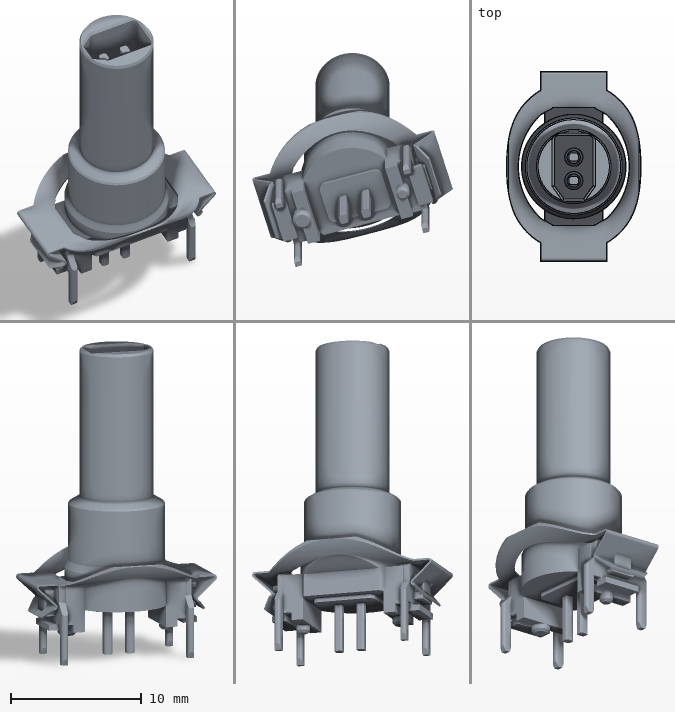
import cadquery as cq
import math

OVERALL_HEIGHT = 23.9

SHAFT_RADIUS = 2.85
SHAFT_TIP_RADIUS = 2.73
SHAFT_TIP_HEIGHT = 0.22
SHOULDER_TOP_Z = 12.43
SHOULDER_EDGE_RADIUS = 3.59
SHOULDER_EDGE_Z = 12.0
BARREL_RADIUS = 3.7
BARREL_TOP_Z = 11.85
BARREL_BOTTOM_Z = 7.5
DRUM_RADIUS = 4.0
DRUM_TOP_Z = 6.93
DRUM_BOTTOM_Z = 4.1

RELIEF_X = 2.6
RELIEF_Z = 5.83
RELIEF_SLOPE = 0.7

SOCKET_HALF_WIDTH = 1.48
SOCKET_BACK_Y = 2.4
SOCKET_FRONT_Y = -2.46
SOCKET_BACK_CORNER_RADIUS = 0.35
SOCKET_FRONT_HALF_WIDTH = 0.77
SOCKET_FRONT_BEVEL_Y = -1.45
SOCKET_MOUTH_CHAMFER = 0.17
SOCKET_FLOOR_Z = SHOULDER_TOP_Z

CONE_BASE_RADIUS = 0.7
CONE_TOP_RADIUS = 0.5
CONE_HEIGHT = 0.2

BASE_HALF_WIDTH = 1.67
BASE_BACK_Y = 2.25
BASE_FRONT_Y = -2.68
BASE_BOTTOM_Z = 3.78
BASE_CORNER_RADIUS = 0.53

BLOCK_HALF_WIDTH = 2.22
BLOCK_INNER_Y = 3.25
BLOCK_OUTER_Y = 4.83
BLOCK_TOP_Z = 5.98
BLOCK_FOOT_Z = 2.4
BLOCK_STEP_Y = 4.18
BLOCK_STEP_Z = 3.01
POST_Y = 4.0
POST_BOTTOM_Z = 1.85
POST_CHAMFER = 0.2
BACK_POST_RADIUS = 0.72
FRONT_POST_RADIUS = 0.53

PIN_WIDTH = 0.72
PIN_DEPTH = 0.62
PIN_EDGE_CHAMFER = 0.12
PIN_BOTTOM_Z = 0.17
PIN_TOP_Z = 22.6
PIN_Y_POSITIONS = (0.72, -1.08)

SHEET = 0.15
SPRING_TOP_Z = 6.34
SPRING_BOTTOM_Z = SPRING_TOP_Z - SHEET
STRIP_HALF_WIDTH = 2.53
WING_SPAN = 10.25
WING_ROOT_Y = 5.83
WING_BEND_RADIUS = 2.77
WING_OUTER_BEND_RADIUS = WING_BEND_RADIUS + SHEET
WING_FLAT_RADIUS = 6.89
SPRING_HOLE_HALF_LENGTH = 4.52
SPRING_HOLE_END_HALF_WIDTH = 1.53
SPRING_HOLE_BEVEL_Y = 3.95
SPRING_HOLE_HALF_WIDTH = 4.23
HOOK_CORNER_Y = 7.44
HOOK_KNEE_Y = 5.57
HOOK_KNEE_Z = 4.55
HOOK_END_Y = 6.55
HOOK_END_Z = 3.55
HOOK_INNER_BEND = 0.1
HOOK_BEVEL_TOP_Z = 4.3
HOOK_END_HALF_WIDTH = 1.58
WINDOW_OUTER_Y = 6.26
WINDOW_BOTTOM_Z = 3.92
WINDOW_TOP_Z = 5.1

PLATE_INNER_Y = BLOCK_OUTER_Y
PLATE_THICKNESS = 0.5
PLATE_OUTER_Y = PLATE_INNER_Y + PLATE_THICKNESS
PLATE_HALF_WIDTH = 2.1
PLATE_TOP_CHAMFER = 0.22
PLATE_BOTTOM_Z = 3.13
LIP_INNER_Y = SPRING_HOLE_HALF_LENGTH
LEG_OUTER_X = 3.0
LEG_WIDTH = 0.84
LEG_INNER_X = LEG_OUTER_X - LEG_WIDTH
LEG_SHOULDER_Z = 3.9
LEG_TAPER_TOP_Z = 0.5
LEG_TIP_WIDTH = 0.38
LEG_EDGE_FILLET = 0.22
FOOT_HALF_WIDTH = 1.58
FOOT_OUTER_Y = 5.95
FOOT_TOP_Z = 3.0
FOOT_BOTTOM_Z = 2.53
LUG_OUTER_Y = 6.05
LUG_NECK_HALF_WIDTH = 0.77
LUG_HEAD_HALF_WIDTH = 1.08
LUG_BOTTOM_Z = 3.56
LUG_TOP_Z = 5.55
LUG_HEAD_HEIGHT = 0.53
LUG_HEAD_FILLET = 0.2


def block(x_range, y_range, z_range):
    """Axis-aligned box between the given limits."""
    (x0, x1), (y0, y1), (z0, z1) = x_range, y_range, z_range
    return cq.Workplane("XY").box(x1 - x0, y1 - y0, z1 - z0, centered=False).translate((x0, y0, z0))


def turned_to_back(body):
    """Copy of a body turned half a revolution about the tower axis."""
    return body.rotate((0, 0, 0), (0, 0, 1), 180)


def with_mirror(points):
    """Closed outline: points with x > 0, then their mirror images in reverse order."""
    return points + [(-x, y) for x, y in reversed(points)]


def make_pin(y):
    length = PIN_TOP_Z - PIN_BOTTOM_Z
    bar = cq.Workplane("XY").rect(PIN_WIDTH, PIN_DEPTH).extrude(length)
    return bar.edges("|Z").chamfer(PIN_EDGE_CHAMFER).translate((0, y, PIN_BOTTOM_Z))


def make_tower():
    profile = [
        (0, DRUM_BOTTOM_Z),
        (DRUM_RADIUS, DRUM_BOTTOM_Z),
        (DRUM_RADIUS, DRUM_TOP_Z),
        (BARREL_RADIUS, BARREL_BOTTOM_Z),
        (BARREL_RADIUS, BARREL_TOP_Z),
        (SHOULDER_EDGE_RADIUS, SHOULDER_EDGE_Z),
        (SHAFT_RADIUS, SHOULDER_TOP_Z),
        (SHAFT_RADIUS, OVERALL_HEIGHT - SHAFT_TIP_HEIGHT),
        (SHAFT_TIP_RADIUS, OVERALL_HEIGHT),
        (0, OVERALL_HEIGHT),
    ]
    return cq.Workplane("XZ").polyline(profile).close().revolve(360, (0, 0, 0), (0, 1, 0))


def make_drum_relief():
    outer_x = DRUM_RADIUS + 0.25
    outer_z = RELIEF_Z + RELIEF_SLOPE * (outer_x - RELIEF_X)
    profile = [
        (RELIEF_X, DRUM_BOTTOM_Z),
        (outer_x, DRUM_BOTTOM_Z),
        (outer_x, outer_z),
        (RELIEF_X, RELIEF_Z),
    ]
    return cq.Workplane("XZ").polyline(profile).close().extrude(DRUM_RADIUS, both=True)


def make_socket():
    outline = with_mirror([
        (SOCKET_FRONT_HALF_WIDTH, SOCKET_FRONT_Y),
        (SOCKET_HALF_WIDTH, SOCKET_FRONT_BEVEL_Y),
        (SOCKET_HALF_WIDTH, SOCKET_BACK_Y),
    ])
    depth = OVERALL_HEIGHT - SOCKET_FLOOR_Z
    cavity = cq.Workplane("XY").workplane(offset=SOCKET_FLOOR_Z).polyline(outline).close().extrude(depth)
    cavity = cavity.edges("|Z and >Y").fillet(SOCKET_BACK_CORNER_RADIUS)
    mouth = (
        cavity.faces(">Z").wires().toPending()
        .offset2D(SOCKET_MOUTH_CHAMFER, "intersection")
        .extrude(-SOCKET_MOUTH_CHAMFER, combine=False, taper=45)
    )
    return cavity.union(mouth)


def make_pin_cone(y):
    foot = cq.Vector(0, y, SOCKET_FLOOR_Z)
    cone = cq.Solid.makeCone(CONE_BASE_RADIUS, CONE_TOP_RADIUS, CONE_HEIGHT, pnt=foot)
    return cq.Workplane(obj=cone)


def make_base_plate():
    plate = block(
        (-BASE_HALF_WIDTH, BASE_HALF_WIDTH),
        (BASE_FRONT_Y, BASE_BACK_Y),
        (BASE_BOTTOM_Z, DRUM_BOTTOM_Z),
    )
    return plate.edges("|Z").fillet(BASE_CORNER_RADIUS)


def make_standoff(side, post_radius):
    """Stepped block with a round post below it, on the +Y (side = 1) or -Y (side = -1) end."""
    profile = [
        (side * BLOCK_INNER_Y, BLOCK_FOOT_Z),
        (side * BLOCK_STEP_Y, BLOCK_FOOT_Z),
        (side * BLOCK_STEP_Y, BLOCK_STEP_Z),
        (side * BLOCK_OUTER_Y, BLOCK_STEP_Z),
        (side * BLOCK_OUTER_Y, BLOCK_TOP_Z),
        (side * BLOCK_INNER_Y, BLOCK_TOP_Z),
    ]
    standoff = cq.Workplane("YZ").polyline(profile).close().extrude(BLOCK_HALF_WIDTH, both=True)
    post = (
        cq.Workplane("XY", origin=(0, side * POST_Y, POST_BOTTOM_Z))
        .circle(post_radius)
        .extrude(BLOCK_TOP_Z - POST_BOTTOM_Z)
        .faces("<Z").chamfer(POST_CHAMFER)
    )
    return standoff.union(post)


def make_housing(pins):
    housing = make_tower().cut(make_drum_relief()).cut(make_socket()).union(make_base_plate())
    housing = housing.union(make_standoff(1, BACK_POST_RADIUS))
    housing = housing.union(make_standoff(-1, FRONT_POST_RADIUS))
    for y in PIN_Y_POSITIONS:
        housing = housing.union(make_pin_cone(y))
    for pin in pins:
        housing = housing.cut(pin)
    return housing


def make_bracket_plate():
    """Plate with two pointed legs, in the XZ plane."""
    leg_middle = LEG_OUTER_X - LEG_WIDTH / 2
    shoulder_rise = LEG_OUTER_X - PLATE_HALF_WIDTH
    outline = with_mirror([
        (LEG_INNER_X, PLATE_BOTTOM_Z),
        (LEG_INNER_X, LEG_TAPER_TOP_Z),
        (leg_middle - LEG_TIP_WIDTH / 2, 0),
        (leg_middle + LEG_TIP_WIDTH / 2, 0),
        (LEG_OUTER_X, LEG_TAPER_TOP_Z),
        (LEG_OUTER_X, LEG_SHOULDER_Z),
        (PLATE_HALF_WIDTH, LEG_SHOULDER_Z + shoulder_rise),
        (PLATE_HALF_WIDTH, SPRING_BOTTOM_Z - PLATE_TOP_CHAMFER),
        (PLATE_HALF_WIDTH - PLATE_TOP_CHAMFER, SPRING_BOTTOM_Z),
    ])
    inner_face = cq.Workplane("XZ", origin=(0, -PLATE_INNER_Y, 0))
    plate = inner_face.polyline(outline).close().extrude(PLATE_THICKNESS)
    margin = 0.25
    leg_zone = cq.selectors.BoxSelector(
        (-LEG_OUTER_X - margin, -PLATE_OUTER_Y - margin, LEG_TAPER_TOP_Z),
        (LEG_OUTER_X + margin, -PLATE_INNER_Y + margin, LEG_SHOULDER_Z),
    )
    return plate.edges(leg_zone).edges("|Z").fillet(LEG_EDGE_FILLET)


def make_lug(rounded):
    """Lug with a head above and below a narrower neck; the heads' long edges may be rounded."""
    y_range = (-LUG_OUTER_Y, -PLATE_OUTER_Y)
    lug = block((-LUG_NECK_HALF_WIDTH, LUG_NECK_HALF_WIDTH), y_range, (LUG_BOTTOM_Z, LUG_TOP_Z))
    for head_z in (LUG_BOTTOM_Z, LUG_TOP_Z - LUG_HEAD_HEIGHT):
        head = block((-LUG_HEAD_HALF_WIDTH, LUG_HEAD_HALF_WIDTH), y_range, (head_z, head_z + LUG_HEAD_HEIGHT))
        if rounded:
            head = head.edges("|Y").fillet(LUG_HEAD_FILLET)
        lug = lug.union(head)
    return lug


def make_bracket(rounded_lug):
    lip_half_width = PLATE_HALF_WIDTH - PLATE_TOP_CHAMFER
    lip = block(
        (-lip_half_width, lip_half_width),
        (-PLATE_INNER_Y, -LIP_INNER_Y),
        (BLOCK_TOP_Z, SPRING_BOTTOM_Z),
    )
    foot = block(
        (-FOOT_HALF_WIDTH, FOOT_HALF_WIDTH),
        (-FOOT_OUTER_Y, -PLATE_INNER_Y),
        (FOOT_BOTTOM_Z, FOOT_TOP_Z),
    )
    foot_root = block(
        (-FOOT_HALF_WIDTH, FOOT_HALF_WIDTH),
        (-PLATE_OUTER_Y, -PLATE_INNER_Y),
        (FOOT_TOP_Z, PLATE_BOTTOM_Z),
    )
    bracket = make_bracket_plate().union(lip).union(foot).union(foot_root)
    return bracket.union(make_lug(rounded_lug))


def make_spring_sheet():
    """Sheet that is flat in the middle and curls up in a circular arc on both sides."""
    centre_z = SPRING_TOP_Z + WING_BEND_RADIUS

    def on_arc(radius, degrees, side):
        angle = math.radians(degrees)
        return (side * (STRIP_HALF_WIDTH + radius * math.sin(angle)), centre_z - radius * math.cos(angle))

    curl = math.degrees(math.asin((WING_SPAN / 2 - STRIP_HALF_WIDTH) / WING_OUTER_BEND_RADIUS))
    profile = (
        cq.Workplane("XZ")
        .moveTo(-STRIP_HALF_WIDTH, SPRING_BOTTOM_Z)
        .lineTo(STRIP_HALF_WIDTH, SPRING_BOTTOM_Z)
        .threePointArc(on_arc(WING_OUTER_BEND_RADIUS, curl / 2, 1), on_arc(WING_OUTER_BEND_RADIUS, curl, 1))
        .lineTo(*on_arc(WING_BEND_RADIUS, curl, 1))
        .threePointArc(on_arc(WING_BEND_RADIUS, curl / 2, 1), (STRIP_HALF_WIDTH, SPRING_TOP_Z))
        .lineTo(-STRIP_HALF_WIDTH, SPRING_TOP_Z)
        .threePointArc(on_arc(WING_BEND_RADIUS, curl / 2, -1), on_arc(WING_BEND_RADIUS, curl, -1))
        .lineTo(*on_arc(WING_OUTER_BEND_RADIUS, curl, -1))
        .threePointArc(on_arc(WING_OUTER_BEND_RADIUS, curl / 2, -1), (-STRIP_HALF_WIDTH, SPRING_BOTTOM_Z))
        .close()
    )
    return profile.extrude(WING_ROOT_Y, both=True)


def wing_edge_points(side):
    """Plan points of a wing edge that is a circular arc when the curled sheet is laid flat."""
    centre_offset = math.sqrt(WING_FLAT_RADIUS ** 2 - WING_ROOT_Y ** 2)
    half_angle = math.asin(WING_ROOT_Y / WING_FLAT_RADIUS)
    steps = 12
    points = []
    for i in range(steps + 1):
        angle = half_angle * (2 * i / steps - 1)
        reach = WING_FLAT_RADIUS * math.cos(angle) - centre_offset
        x = STRIP_HALF_WIDTH + WING_OUTER_BEND_RADIUS * math.sin(reach / WING_OUTER_BEND_RADIUS)
        points.append((side * x, side * WING_FLAT_RADIUS * math.sin(angle)))
    return points


def make_spring_blank():
    """Tall prism with the spring's plan outline and its central hole."""
    right_edge = wing_edge_points(1)
    left_edge = wing_edge_points(-1)
    outline = (
        cq.Workplane("XY")
        .moveTo(*right_edge[0])
        .spline(right_edge[1:], includeCurrent=True)
        .lineTo(*left_edge[0])
        .spline(left_edge[1:], includeCurrent=True)
        .close()
        .extrude(OVERALL_HEIGHT)
    )
    hole = (
        cq.Workplane("XY")
        .moveTo(SPRING_HOLE_END_HALF_WIDTH, -SPRING_HOLE_HALF_LENGTH)
        .lineTo(STRIP_HALF_WIDTH, -SPRING_HOLE_BEVEL_Y)
        .threePointArc((SPRING_HOLE_HALF_WIDTH, 0), (STRIP_HALF_WIDTH, SPRING_HOLE_BEVEL_Y))
        .lineTo(SPRING_HOLE_END_HALF_WIDTH, SPRING_HOLE_HALF_LENGTH)
        .lineTo(-SPRING_HOLE_END_HALF_WIDTH, SPRING_HOLE_HALF_LENGTH)
        .lineTo(-STRIP_HALF_WIDTH, SPRING_HOLE_BEVEL_Y)
        .threePointArc((-SPRING_HOLE_HALF_WIDTH, 0), (-STRIP_HALF_WIDTH, -SPRING_HOLE_BEVEL_Y))
        .lineTo(-SPRING_HOLE_END_HALF_WIDTH, -SPRING_HOLE_HALF_LENGTH)
        .close()
        .extrude(OVERALL_HEIGHT)
    )
    return outline.cut(hole)


def offset_path(path, distance):
    """Polyline parallel to path, distance to its left, with mitred corners."""
    headings = [math.atan2(b[1] - a[1], b[0] - a[0]) for a, b in zip(path, path[1:])]
    before = headings[:1] + headings
    after = headings + headings[-1:]
    points = []
    for (u, v), first, second in zip(path, before, after):
        direction = (first + second) / 2 + math.pi / 2
        reach = distance / math.cos((second - first) / 2)
        points.append((u + reach * math.cos(direction), v + reach * math.sin(direction)))
    return points


def make_hook():
    """Strip on the +Y side, folded back under itself and then kicked outward at its end."""
    path = [
        (SPRING_HOLE_HALF_LENGTH, SPRING_TOP_Z - SHEET / 2),
        (HOOK_CORNER_Y, SPRING_TOP_Z - SHEET / 2),
        (HOOK_KNEE_Y, HOOK_KNEE_Z),
        (HOOK_END_Y, HOOK_END_Z),
    ]
    outline = offset_path(path, SHEET / 2) + offset_path(path, -SHEET / 2)[::-1]
    hook = cq.Workplane("YZ").polyline(outline).close().extrude(STRIP_HALF_WIDTH, both=True)
    (outer_corner, outer_knee), (inner_knee, inner_corner) = outline[1:3], outline[5:7]
    bends = [
        (outer_corner, HOOK_INNER_BEND + SHEET),
        (inner_corner, HOOK_INNER_BEND),
        (outer_knee, HOOK_INNER_BEND),
        (inner_knee, HOOK_INNER_BEND + SHEET),
    ]
    for (y, z), radius in bends:
        hook = hook.edges(cq.selectors.NearestToPointSelector((0, y, z))).fillet(radius)
    return hook.cut(make_hook_window()).cut(make_hook_bevel(1)).cut(make_hook_bevel(-1))


def make_hook_window():
    """Opening around the knee, whose top and bottom edges are cut square to the sheet."""
    depth = WINDOW_OUTER_Y - PLATE_OUTER_Y
    profile = [
        (WINDOW_OUTER_Y, WINDOW_BOTTOM_Z),
        (WINDOW_OUTER_Y, WINDOW_TOP_Z),
        (PLATE_OUTER_Y, WINDOW_TOP_Z + depth),
        (PLATE_OUTER_Y, WINDOW_BOTTOM_Z - depth),
    ]
    return cq.Workplane("YZ").polyline(profile).close().extrude(LUG_NECK_HALF_WIDTH, both=True)


def make_hook_bevel(side):
    """Wedge that narrows the hook's end on one side."""
    profile = [
        (side * STRIP_HALF_WIDTH, HOOK_BEVEL_TOP_Z),
        (side * HOOK_END_HALF_WIDTH, HOOK_END_Z),
        (side * HOOK_END_HALF_WIDTH, 0),
        (side * STRIP_HALF_WIDTH, 0),
    ]
    return cq.Workplane("XZ").polyline(profile).close().extrude(-OVERALL_HEIGHT)


def make_spring(brackets):
    spring = make_spring_sheet().intersect(make_spring_blank())
    hook = make_hook()
    spring = spring.union(hook).union(turned_to_back(hook))
    for bracket in brackets:
        spring = spring.cut(bracket)
    return spring


pins = [make_pin(y) for y in PIN_Y_POSITIONS]
housing = make_housing(pins)
brackets = [make_bracket(rounded_lug=True), turned_to_back(make_bracket(rounded_lug=False))]
spring = make_spring(brackets)

bodies = [housing, spring] + brackets + pins
result = cq.Compound.makeCompound([body.solids().val() for body in bodies])